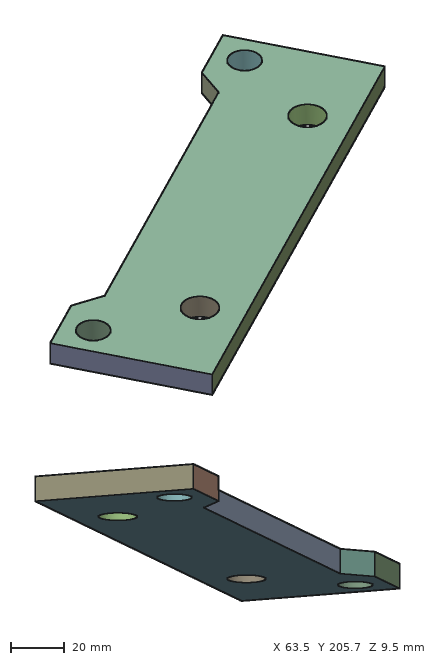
import cadquery as cq

width = 63.5
length = 205.7
thickness = 9.5

relief_depth = 9.9
end_tab_length = 25.0

corner_hole_diameter = 13.0
corner_hole_inset = 12.8

inner_hole_diameter = 14.5
inner_hole_x = 14.2
inner_hole_spacing = 128.2

half_width = width / 2
half_length = length / 2
relief_half_length = half_length - end_tab_length
relief_floor_half_length = relief_half_length - relief_depth
relief_floor_x = -half_width + relief_depth


def make_plate():
    """Rectangular plate with the relief in its -X edge, centred on the origin."""
    outline = [
        (half_width, -half_length),
        (half_width, half_length),
        (-half_width, half_length),
        (-half_width, relief_half_length),
        (relief_floor_x, relief_floor_half_length),
        (relief_floor_x, -relief_floor_half_length),
        (-half_width, -relief_half_length),
        (-half_width, -half_length),
    ]
    return cq.Workplane("XY").polyline(outline).close().extrude(thickness / 2, both=True)


def drill_pair(body, x, y, diameter):
    """Drill two through holes mirrored about the XZ plane."""
    return body.faces(">Z").workplane(origin=(0, 0, 0)).pushPoints([(x, y), (x, -y)]).hole(diameter)


result = make_plate()
result = drill_pair(
    result,
    -half_width + corner_hole_inset,
    half_length - corner_hole_inset,
    corner_hole_diameter,
)
result = drill_pair(result, inner_hole_x, inner_hole_spacing / 2, inner_hole_diameter)